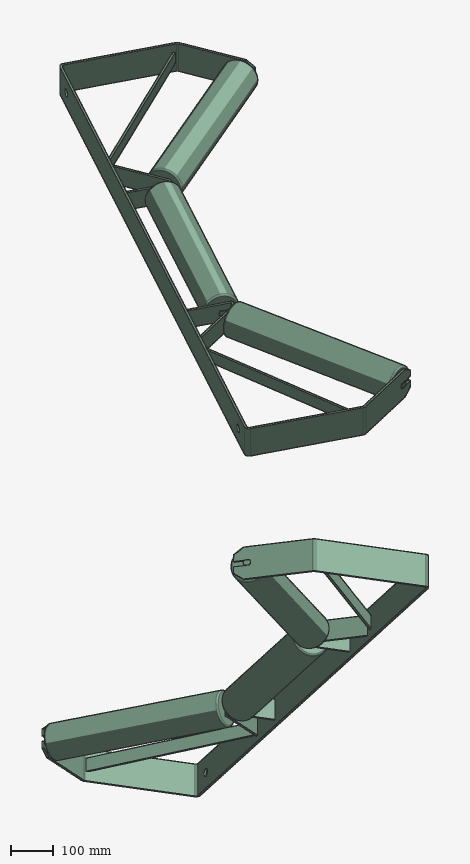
import cadquery as cq
import math

strip_thickness = 6.0

overall_length = 1490.0
frame_width = 80.0
frame_bend_radius = 9.0
tip_height = 445.0
mount_hole_diameter = 20.0
mount_hole_inset = 61.0
tip_half_width = 24.0
tip_chamfer_length = 24.0

roller_diameter = 90.0
roller_length = 465.0
rim_fillet = 5.0
shaft_diameter = 18.0
shaft_flat_width = 13.0
end_gap = 5.2
slot_opening = 45.0
shaft_overhang = 1.0
trough_angle = 40.0
middle_roller_height = 98.0
side_roller_x = 451.0
side_roller_y = 264.0

bracket_width = 50.0
bracket_bend_radius = 3.0
brace_width = 33.0
bracket_top = 125.0
brace_top = 286.0
brace_foot_x = 371.0

angle = math.radians(trough_angle)
along_x, along_y = math.cos(angle), math.sin(angle)
half_strip = strip_thickness / 2
plate_offset = roller_length / 2 + end_gap + half_strip
shaft_length = roller_length + 2 * (end_gap + strip_thickness + shaft_overhang)


def bent_strip(points, width, radius):
    """Strip that follows a middle line in the XY plane, bent at every inner point."""
    straight = cq.Wire.makePolygon([cq.Vector(x, y, 0) for x, y in points])
    path = straight.fillet(radius, straight.Vertices()[1:-1])
    start, following = points[0], points[1]
    heading = cq.Vector(following[0] - start[0], following[1] - start[1], 0)
    plane = cq.Plane(origin=(*start, 0), xDir=(0, 0, 1), normal=heading.toTuple())
    return cq.Workplane(plane).rect(width, strip_thickness).sweep(cq.Workplane(path))


def at_left_roller(body):
    """Move a body built along X around the origin onto the left roller's axis."""
    return body.rotate((0, 0, 0), (0, 0, 1), -trough_angle).translate((-side_roller_x, side_roller_y, 0))


def at_middle_roller(body):
    return body.translate((0, middle_roller_height, 0))


def mirrored(body):
    return body.mirror("YZ")


def cylinder(diameter, length):
    """Cylinder along X, centred on the origin."""
    return cq.Workplane("YZ", origin=(-length / 2, 0, 0)).circle(diameter / 2).extrude(length)


def shaft():
    flats = cq.Workplane("XY").box(shaft_length, shaft_diameter, shaft_flat_width)
    return cylinder(shaft_diameter, shaft_length).intersect(flats)


def roller():
    """Drum with rounded rims on a flatted shaft."""
    drum = cylinder(roller_diameter, roller_length).faces("<X or >X").edges().fillet(rim_fillet)
    return drum.union(shaft())


def shaft_slot():
    """Space of the shaft, left open on the +Y side so that the roller drops in."""
    opening = cq.Workplane("XY").box(
        shaft_length, slot_opening, shaft_flat_width, centered=(True, False, True)
    )
    return shaft().union(opening)


arm_x, arm_y = -side_roller_x - plate_offset * along_x, side_roller_y + plate_offset * along_y
leg_x, leg_y = -side_roller_x + plate_offset * along_x, side_roller_y - plate_offset * along_y
lean = math.tan(angle)


def frame():
    """Base, side walls and inclined arms, with mounting holes and slotted, chamfered arm tips."""
    side_x = overall_length / 2 - half_strip
    tip_y = tip_height - half_strip * along_y
    tip = (arm_x + (tip_y - arm_y) * lean, tip_y)
    shoulder = (-side_x, arm_y - (arm_x + side_x) / lean)
    corner = (-side_x, half_strip)
    left = [tip, shoulder, corner]
    body = bent_strip(left + [(-x, y) for x, y in reversed(left)], frame_width, frame_bend_radius)

    tip_across = (tip_y - arm_y) / along_x
    chamfer = (
        cq.Workplane("YZ")
        .moveTo(tip_across, tip_half_width)
        .lineTo(tip_across, frame_width / 2)
        .lineTo(tip_across - tip_chamfer_length, frame_width / 2)
        .close()
        .extrude(-shaft_length / 2)
    )
    chamfers = at_left_roller(chamfer.union(chamfer.mirror("XY")))
    holes = (
        cq.Workplane("XZ")
        .pushPoints([(side * (overall_length / 2 - mount_hole_inset), 0) for side in (-1, 1)])
        .circle(mount_hole_diameter / 2)
        .extrude(-strip_thickness)
    )
    slot = at_left_roller(shaft_slot())
    return body.cut(holes).cut(chamfers).cut(mirrored(chamfers)).cut(slot).cut(mirrored(slot))


def left_bracket():
    """Strip that rises along the left roller's lower end and drops beside the middle roller."""
    crest_y = bracket_top - half_strip
    middle_line = [
        (leg_x - leg_y * lean, 0),
        (leg_x + (crest_y - leg_y) * lean, crest_y),
        (-plate_offset, crest_y),
        (-plate_offset, 0),
    ]
    body = bent_strip(middle_line, bracket_width, bracket_bend_radius)
    base = cq.Workplane("XY").box(overall_length, 2 * strip_thickness, frame_width)
    return body.cut(base).cut(at_left_roller(shaft_slot())).cut(at_middle_roller(shaft_slot()))


def left_brace():
    """Sloping bar from the frame's side wall down to its base."""
    wall_x = -overall_length / 2 + strip_thickness
    foot_y = strip_thickness
    slope = (brace_top - foot_y) / (-brace_foot_x - wall_x)
    drop = strip_thickness * math.hypot(1, slope)
    return (
        cq.Workplane("XY", origin=(0, 0, -brace_width / 2))
        .moveTo(wall_x, brace_top)
        .lineTo(-brace_foot_x, foot_y)
        .lineTo(-brace_foot_x - drop / slope, foot_y)
        .lineTo(wall_x, brace_top - drop)
        .close()
        .extrude(brace_width)
    )


def both_sides(left_body):
    return [left_body, mirrored(left_body)]


rollers = [at_middle_roller(roller())] + both_sides(at_left_roller(roller()))
brackets = both_sides(left_bracket())
braces = both_sides(left_brace())
bodies = [frame()] + rollers + brackets + braces

result = cq.Compound.makeCompound([solid for body in bodies for solid in body.solids().vals()])